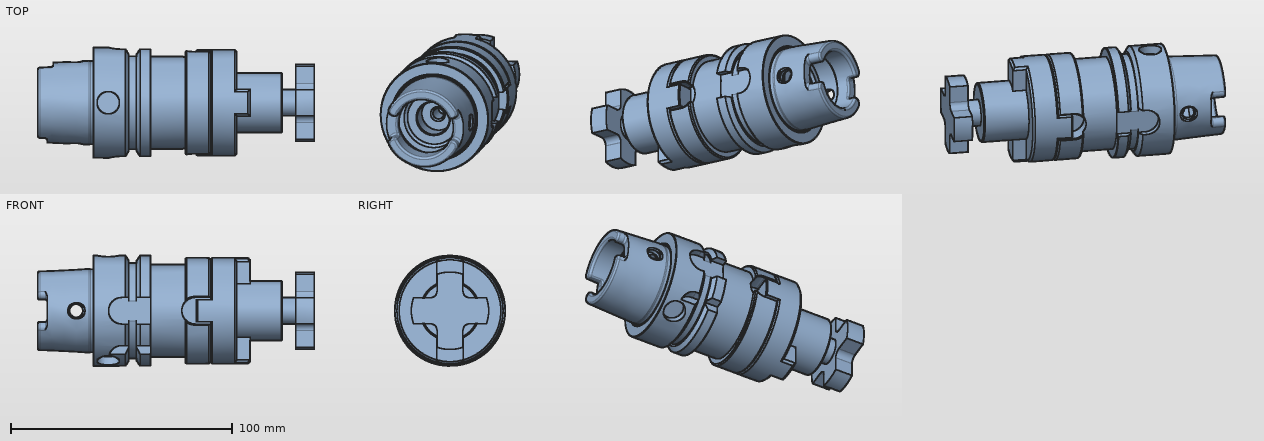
import cadquery as cq
import math

nose_x = 0.0
taper_end_x = 23.0
flange_x = 25.0
groove_start_x = 41.2
groove_end_x = 44.6
flange_end_x = 51.0
collar_x = 66.6
joint_x = 78.1
ring_end_x = 90.0
lug_end_x = 96.0
pilot_end_x = 110.6
head_x = 116.6
head_end_x = 125.0

taper_radius = 38.0 / 2
nose_radius = taper_radius - taper_end_x / 20
flange_radius = 25.0
groove_radius = 21.6
groove_mouth_radius = 22.6
groove_flare = 1.6
body_radius = 42.0 / 2
collar_radius = 48.0 / 2
pilot_radius = 27.0 / 2
screw_radius = 12.0 / 2
joint_depth = 0.8
collar_chamfer = 0.6
edge_chamfer = 0.5
fine_chamfer = 0.2

undercut_radius = 18.9
undercut_length = 0.8
relief_radius = 20.0
relief_depth = 0.5

mouth_radius = 14.2
bore_radius = 26.4 / 2
bore_lip_x = 10.5
groove_bore_radius = 32.0 / 2
groove_bore_angle = 60
shoulder_x = 21.2
floor_radius = 11.9
bore_floor_x = 22.5
thread_mouth_radius = 7.9
thread_radius = 14.9 / 2
thread_end_x = 32.5
coolant_mouth_radius = 6.8 / 2
coolant_radius = 5.0 / 2
coolant_end_x = 45.0

nose_slot_width = 10.0
nose_slot_depth_front = 4.2
nose_slot_depth_back = 7.0
slot_floor_fillet = 1.0
horn_round = 2.5
nose_round = 0.9

cross_hole_x = 17.4
cross_hole_diameter = 6.0
cross_hole_mouth = 8.0

keyway_width = 12.0
keyway_end_x = 32.0
keyway_floor = 21.1
notch_z = -21.8
notch_floor = 15.5
hole_x = 31.9
hole_diameter = 10.1
hole_depth = 4.5
side_hole_angle = 24

claw_slot_width = 12.0
claw_slot_end_x = 65.1
claw_slot_floor = 15.0
claw_width = 10.1
claw_x = 71.8

lug_width = 12.0
lug_chamfer = 1.0

head_radius = 17.5
arm_width = 11.8
arm_fillet = 3.0

outside = flange_radius + 1.2
margin = 0.1


def turned(points):
    """Solid of revolution about X from (x, radius) points."""
    return cq.Workplane("XY").polyline(points).close().revolve(360, (0, 0, 0), (1, 0, 0))


def cylinder_y(x, z, diameter, y_start, y_end):
    """Cylinder parallel to Y between two Y positions."""
    length = y_end - y_start
    return cq.Workplane(cq.Solid.makeCylinder(
        diameter / 2, length, cq.Vector(x, y_start, z), cq.Vector(0, 1, 0)))


def box(x0, x1, y0, y1, z0, z1):
    """Box between two corners."""
    return cq.Workplane("XY").box(x1 - x0, y1 - y0, z1 - z0, centered=False).translate((x0, y0, z0))


def round_ended_slot(x0, x1, width, z, floor, top):
    """Slot along X with a rounded left end, cut from y = floor out to y = top."""
    radius = width / 2
    end = cylinder_y(x0 + radius, z, width, floor, top)
    return end.union(box(x0 + radius, x1, floor, top, z - radius, z + radius))


def both_sides(tool):
    """The tool together with its half-turn copy about X."""
    return tool.union(tool.rotate((0, 0, 0), (1, 0, 0), 180))


def make_nose_bore():
    """Nose bore with a rounded mouth and a wider clamping groove behind its lip."""
    mouth_round = mouth_radius - bore_radius
    bend = mouth_round * math.sqrt(0.5)
    cone_length = (groove_bore_radius - bore_radius) / math.tan(math.radians(groove_bore_angle))
    return (
        cq.Workplane("XY")
        .moveTo(nose_x, 0)
        .lineTo(nose_x, mouth_radius)
        .threePointArc((mouth_round - bend, mouth_radius - bend), (mouth_round, bore_radius))
        .lineTo(bore_lip_x, bore_radius)
        .lineTo(bore_lip_x + cone_length, groove_bore_radius)
        .lineTo(shoulder_x, groove_bore_radius)
        .lineTo(shoulder_x, bore_radius)
        .lineTo(bore_floor_x, floor_radius)
        .lineTo(bore_floor_x, 0)
        .close()
        .revolve(360, (0, 0, 0), (1, 0, 0))
    )


def make_shank():
    """Hollow taper with two drive slots, rounded horns and a countersunk cross hole."""
    shank = turned([
        (nose_x, 0),
        (nose_x, nose_radius),
        (taper_end_x, taper_radius),
        (taper_end_x + undercut_length, undercut_radius),
        (flange_x + relief_depth, undercut_radius),
        (flange_x + relief_depth, 0),
    ])
    shank = shank.cut(make_nose_bore())
    reach = 2 * nose_radius
    half = nose_slot_width / 2
    front_slot = box(nose_x, nose_slot_depth_front, -reach, 0, -half, half)
    back_slot = box(nose_x, nose_slot_depth_back, 0, reach, -half, half)
    shank = shank.cut(front_slot).cut(back_slot)

    corner_y = math.sqrt(nose_radius ** 2 - half ** 2)
    for y in (-corner_y, corner_y):
        for z in (-half, half):
            zone = cq.selectors.BoxSelector((0.2, y - 1.2, z - 0.6), (6.2, y + 1.2, z + 0.6))
            shank = shank.edges(zone).edges("not(#X)").fillet(horn_round)

    for x, side in ((nose_slot_depth_front, -1.2), (nose_slot_depth_back, 1.2)):
        zone = cq.selectors.BoxSelector((x - margin, side * 5, -10), (x + margin, side * 12.5, 10))
        roots = shank.edges(zone).filter(lambda e: abs(e.Center().z) > half - margin)
        shank = roots.fillet(slot_floor_fillet)

    end_face = cq.selectors.BoxSelector((-margin, -reach, -reach), (margin, reach, reach))
    rim = shank.edges(end_face)
    rim = rim.filter(lambda e: e.geomType() != "CIRCLE" or e.radius() > mouth_radius + margin)
    shank = rim.fillet(nose_round)

    cross = cylinder_y(cross_hole_x, 0, cross_hole_diameter, -reach, reach)
    local_radius = nose_radius + (taper_radius - nose_radius) * cross_hole_x / taper_end_x
    countersink = cq.Workplane(cq.Solid.makeCone(
        cross_hole_mouth / 2, 0, cross_hole_mouth / 2,
        cq.Vector(cross_hole_x, -local_radius, 0), cq.Vector(0, 1, 0)))
    return shank.cut(cross).cut(both_sides(countersink))


def make_body():
    """Flange with gripper groove, plain body, collar, ring, pilot and screw shank."""
    return turned([
        (flange_x, 0),
        (flange_x, undercut_radius),
        (flange_x + relief_depth, undercut_radius),
        (flange_x + relief_depth, relief_radius - relief_depth),
        (flange_x, relief_radius),
        (flange_x, flange_radius - fine_chamfer),
        (flange_x + fine_chamfer, flange_radius),
        (groove_start_x - groove_flare, flange_radius),
        (groove_start_x, groove_mouth_radius),
        (groove_start_x, groove_radius),
        (groove_end_x, groove_radius),
        (groove_end_x, groove_mouth_radius),
        (groove_end_x + groove_flare, flange_radius),
        (flange_end_x - fine_chamfer, flange_radius),
        (flange_end_x, flange_radius - fine_chamfer),
        (flange_end_x, body_radius),
        (collar_x, body_radius),
        (collar_x, collar_radius - collar_chamfer),
        (collar_x + collar_chamfer, collar_radius),
        (lug_end_x, collar_radius),
        (lug_end_x, pilot_radius),
        (pilot_end_x - edge_chamfer, pilot_radius),
        (pilot_end_x, pilot_radius - edge_chamfer),
        (pilot_end_x, screw_radius),
        (head_x, screw_radius),
        (head_x, 0),
    ])


def cut_lugs(body):
    """Leave two chamfered lugs at top and bottom in front of the ring face."""
    sweep = turned([
        (ring_end_x, pilot_radius),
        (ring_end_x, flange_radius),
        (lug_end_x, flange_radius),
        (lug_end_x, pilot_radius),
    ])
    half = lug_width / 2
    body = body.cut(sweep.cut(box(ring_end_x, lug_end_x, -half, half, -flange_radius, flange_radius)))
    zone = cq.selectors.BoxSelector((ring_end_x - margin, -flange_radius, -flange_radius),
                                    (lug_end_x + margin, flange_radius, flange_radius))
    rim = body.edges(zone)
    rim = rim.filter(lambda e: math.hypot(*e.positionAt(0.5).toTuple()[1:]) > collar_radius - margin)
    return rim.chamfer(lug_chamfer)


def cut_claw_slots(body):
    """Cut the joint between collar and ring and the side slots, leaving the two claws of the ring."""
    joint = turned([
        (joint_x - joint_depth, collar_radius),
        (joint_x, collar_radius - joint_depth),
        (joint_x + joint_depth, collar_radius),
        (joint_x + joint_depth, outside),
        (joint_x - joint_depth, outside),
    ])
    slot = round_ended_slot(claw_slot_end_x, joint_x, claw_slot_width, 0, claw_slot_floor, outside)
    half = claw_width / 2
    claws = box(claw_x, ring_end_x, -outside, outside, -half, half)
    body = body.cut(both_sides(slot).cut(claws))
    zone = cq.selectors.BoxSelector((collar_x, -outside, -7.5), (joint_x, outside, 7.5))

    def is_rim(edge):
        """Outer edges of the slots and claw tips, without the long sides of the claws."""
        middle = edge.positionAt(0.5)
        along_claw = edge.geomType() == "LINE" and abs(middle.z) < half + margin
        return math.hypot(middle.y, middle.z) > collar_radius - collar_chamfer and not along_claw

    body = body.edges(zone).filter(is_rim).chamfer(edge_chamfer)
    return body.cut(joint.cut(claws))


def cut_flange(body):
    """Cut the two keyways, the notch and the two blind radial holes into the flange."""
    keyway = round_ended_slot(keyway_end_x, flange_end_x, keyway_width, 0, keyway_floor, outside)
    body = body.cut(both_sides(keyway))
    notch = round_ended_slot(keyway_end_x, flange_end_x, keyway_width, notch_z, -flange_radius, -notch_floor)
    body = body.cut(notch)
    hole = cylinder_y(hole_x, 0, hole_diameter, flange_radius - hole_depth, outside)
    body = body.cut(hole.rotate((0, 0, 0), (1, 0, 0), 90))
    return body.cut(hole.rotate((0, 0, 0), (1, 0, 0), -90 - side_hole_angle))


def make_screw_head():
    """Four-armed head with filleted inner corners and round arm ends."""
    arm = arm_width / 2
    span = 2 * head_radius
    head = cq.Workplane("YZ").workplane(offset=head_x).rect(span, arm_width).extrude(head_end_x - head_x)
    head = head.union(head.rotate((0, 0, 0), (1, 0, 0), 90))
    zone = cq.selectors.BoxSelector((head_x, -arm - margin, -arm - margin),
                                    (head_end_x, arm + margin, arm + margin))
    head = head.edges("|X").edges(zone).fillet(arm_fillet)
    disc = turned([(head_x, 0), (head_x, head_radius), (head_end_x, head_radius), (head_end_x, 0)])
    return head.intersect(disc)


def make_coolant_bore():
    """Stepped blind bore behind the floor of the nose bore."""
    return turned([
        (bore_floor_x, 0),
        (bore_floor_x, thread_mouth_radius),
        (bore_floor_x + thread_mouth_radius - thread_radius, thread_radius),
        (thread_end_x, thread_radius),
        (thread_end_x, coolant_mouth_radius),
        (thread_end_x + coolant_mouth_radius - coolant_radius, coolant_radius),
        (coolant_end_x, coolant_radius),
        (coolant_end_x, 0),
    ])


body = cut_lugs(make_body())
body = cut_claw_slots(body)
body = cut_flange(body)
result = make_shank().union(body).union(make_screw_head()).cut(make_coolant_bore())